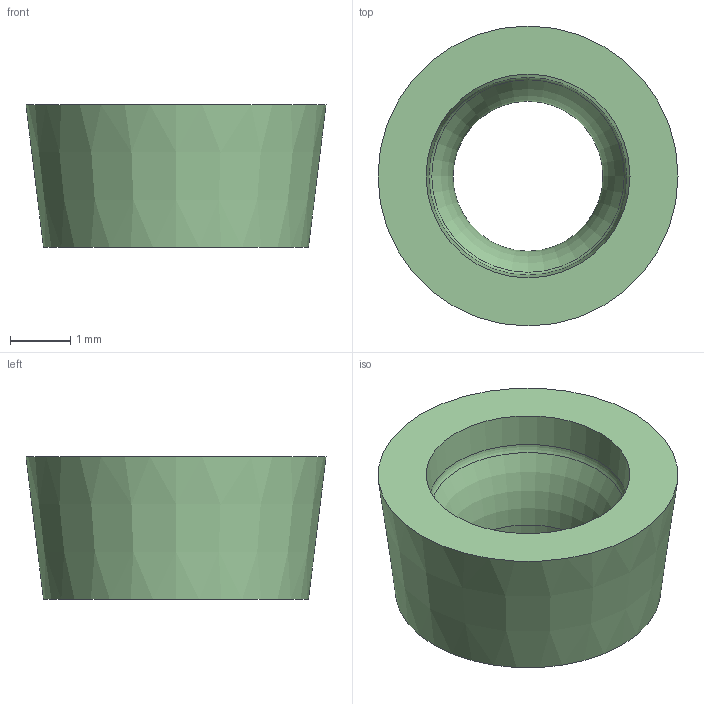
import cadquery as cq
import math

top_diameter = 5.0
thickness = 2.38
relief_angle = math.radians(7)

mouth_diameter = 3.4
wall_depth = 0.55
wall_angle = math.radians(5)
blend_radius = 0.3
seat_angle = math.radians(32.5)
bore_diameter = 2.5

top_radius = top_diameter / 2
bottom_radius = top_radius - thickness * math.tan(relief_angle)
mouth_radius = mouth_diameter / 2
bore_radius = bore_diameter / 2


def arc_point(center, radius, angle):
    """(radius, height) point of a profile arc, at an angle from the outward direction."""
    return (center[0] + radius * math.cos(angle), center[1] + radius * math.sin(angle))


wall_foot = (mouth_radius - wall_depth * math.tan(wall_angle), thickness - wall_depth)

blend_center = (
    wall_foot[0] - blend_radius * math.cos(wall_angle),
    wall_foot[1] + blend_radius * math.sin(wall_angle),
)
blend_middle = arc_point(blend_center, blend_radius, -(wall_angle + seat_angle) / 2)
seat_start = arc_point(blend_center, blend_radius, -seat_angle)

seat_radius = (seat_start[0] - bore_radius) / (1 - math.cos(seat_angle))
seat_center = (bore_radius + seat_radius, seat_start[1] - seat_radius * math.sin(seat_angle))
seat_middle = arc_point(seat_center, seat_radius, math.pi - seat_angle / 2)
seat_end = (bore_radius, seat_center[1])

section = (
    cq.Workplane("XZ")
    .moveTo(bore_radius, 0)
    .lineTo(bottom_radius, 0)
    .lineTo(top_radius, thickness)
    .lineTo(mouth_radius, thickness)
    .lineTo(*wall_foot)
    .threePointArc(blend_middle, seat_start)
    .threePointArc(seat_middle, seat_end)
    .close()
)
result = section.revolve(360, (0, 0, 0), (0, 1, 0))